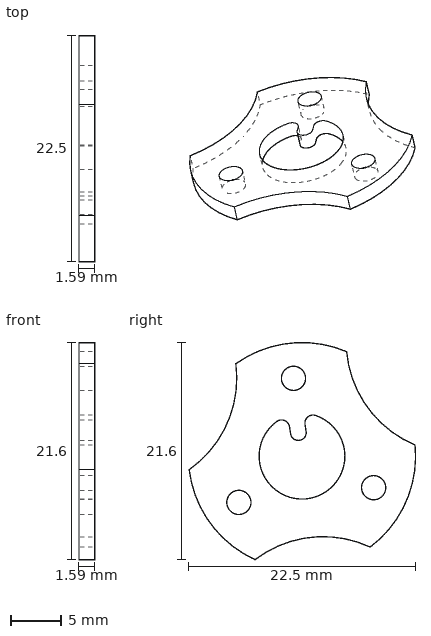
import cadquery as cq
import math

thickness = 1.59
outer_radius = 11.297
lobe_count = 3
lobe_pitch = 360 / lobe_count
first_lobe_angle = 96.24

scallop_radius = 11.11
scallop_floor_radius = 8.12
scallop_center_radius = scallop_floor_radius + scallop_radius

mount_hole_diameter = 2.38
mount_circle_radius = 7.775

bore_radius = 4.25
key_angle = 98.8
key_half_width = 0.79
key_root_radius = key_half_width
key_tip_radius = 1.58


def polar(radius, angle):
    """Point in the YZ plane at a distance and direction from the bore axis."""
    direction = math.radians(angle)
    return (radius * math.cos(direction), radius * math.sin(direction))


def disc(radius, center=(0, 0)):
    """Solid disc of the plate's thickness."""
    return cq.Workplane("YZ").center(*center).circle(radius).extrude(thickness)


def make_bore():
    """Bore cutter: the key is drawn along +Y, then turned to its own direction.

    Each side of the key meets the bore through a round relief that is tangent
    to both the key side and the bore wall.
    """
    relief_offset = key_half_width + key_root_radius
    relief_distance = bore_radius - key_root_radius
    relief_along = math.sqrt(relief_distance**2 - relief_offset**2)
    relief_angle = math.degrees(math.atan2(relief_offset, relief_along))

    tangent_y, tangent_z = polar(bore_radius, relief_angle)
    tip_center = key_tip_radius + key_half_width

    relief_mid_angle = (relief_angle - 90) / 2
    mid_y, mid_z = polar(key_root_radius, relief_mid_angle)
    mid_y += relief_along
    mid_z += relief_offset

    return (
        cq.Workplane("YZ")
        .moveTo(tangent_y, tangent_z)
        .threePointArc((-bore_radius, 0), (tangent_y, -tangent_z))
        .threePointArc((mid_y, -mid_z), (relief_along, -key_half_width))
        .lineTo(tip_center, -key_half_width)
        .threePointArc((key_tip_radius, 0), (tip_center, key_half_width))
        .lineTo(relief_along, key_half_width)
        .threePointArc((mid_y, mid_z), (tangent_y, tangent_z))
        .close()
        .extrude(thickness)
        .rotate((0, 0, 0), (1, 0, 0), key_angle)
    )


def make_plate():
    """Three-lobed plate with a mounting hole in every lobe."""
    plate = disc(outer_radius)
    for index in range(lobe_count):
        lobe_angle = first_lobe_angle + index * lobe_pitch
        scallop_angle = lobe_angle + lobe_pitch / 2
        plate = plate.cut(disc(scallop_radius, polar(scallop_center_radius, scallop_angle)))
        plate = plate.cut(disc(mount_hole_diameter / 2, polar(mount_circle_radius, lobe_angle)))
    return plate


result = make_plate().cut(make_bore())